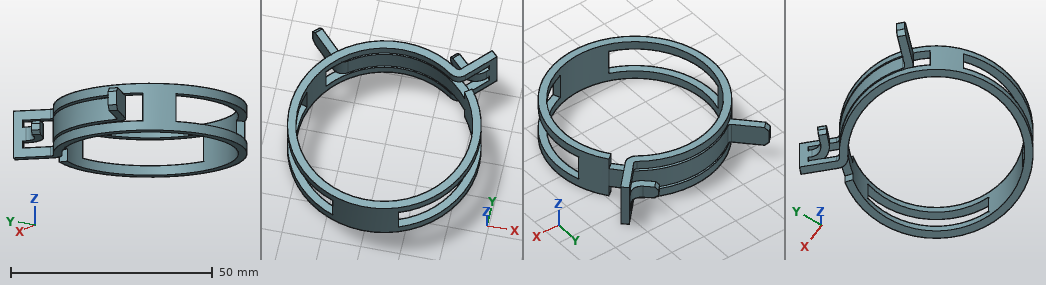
import cadquery as cq
import math

outer_diameter = 48.2
outer_radius = outer_diameter / 2
wall = 2.15
inner_radius = outer_radius - wall
band_height = 12.0

tongue_height = 5.8
window_height = 7.1
band_end_angle = 37.0
side_window_start_angle = 17.0
side_window_end_angle = -69.7

tab_angle = 46.0
tab_offset = 0.4
tab_reach = 34.15
bend_radius = 0.8
tip_chamfer = 1.15

tab_window_reach = 31.9
hook_height = 3.55
hook_tip_chamfer = 0.95
hook_bend_reach = 31.0
hook_bend_radius = 2.75
hook_tip_offset = 9.2


def polar(radius, angle):
    """Point at a radius and an angle in degrees."""
    return (radius * math.cos(math.radians(angle)), radius * math.sin(math.radians(angle)))


def from_point(center, radius, angle):
    """Point at a radius and an angle in degrees around a centre."""
    dx, dy = polar(radius, angle)
    return (center[0] + dx, center[1] + dy)


def extrude_centered(sketch, height):
    """Solid of the given height, symmetric about Z = 0."""
    return sketch.extrude(height / 2, both=True)


def bent_strip(start_angle, reach, height):
    """Ring strip running from start_angle to a tab that points out along tab_angle."""
    start = start_angle - tab_angle
    outside_bend_radius = bend_radius + wall
    center_y = tab_offset + outside_bend_radius
    center_distance = outer_radius + bend_radius
    bend_angle = math.degrees(math.asin(center_y / center_distance))
    center = polar(center_distance, bend_angle)
    middle = (start + bend_angle) / 2
    bend_middle = (bend_angle + 180 + 270) / 2
    strip = (
        cq.Workplane("XY")
        .moveTo(*polar(outer_radius, start))
        .threePointArc(polar(outer_radius, middle), polar(outer_radius, bend_angle))
        .threePointArc(from_point(center, bend_radius, bend_middle), from_point(center, bend_radius, 270))
        .lineTo(reach, tab_offset + wall)
        .lineTo(reach, tab_offset)
        .lineTo(center[0], tab_offset)
        .threePointArc(
            from_point(center, outside_bend_radius, bend_middle),
            polar(inner_radius, bend_angle),
        )
        .threePointArc(polar(inner_radius, middle), polar(inner_radius, start))
        .close()
    )
    return extrude_centered(strip, height).rotate((0, 0, 0), (0, 0, 1), tab_angle)


def side_window():
    """Cutter for the window on the +X side of the ring."""
    cut_radius = 2 * outer_radius
    middle = (side_window_start_angle + side_window_end_angle) / 2
    sector = (
        cq.Workplane("XY")
        .lineTo(*polar(cut_radius, side_window_start_angle))
        .threePointArc(polar(cut_radius, middle), polar(cut_radius, side_window_end_angle))
        .close()
    )
    return extrude_centered(sector, window_height)


def hook():
    """Tongue of the wide tab, bent back through a right angle."""
    tab_far_face = tab_offset + wall
    outside_radius = hook_bend_radius + wall
    center = (hook_bend_reach, tab_far_face + hook_bend_radius)
    leg_inside = center[0] - hook_bend_radius
    leg_outside = center[0] - outside_radius
    profile = (
        cq.Workplane("XY")
        .moveTo(tab_window_reach, tab_offset)
        .lineTo(center[0], tab_offset)
        .threePointArc(from_point(center, outside_radius, 225), (leg_outside, center[1]))
        .lineTo(leg_outside, hook_tip_offset)
        .lineTo(leg_inside, hook_tip_offset)
        .lineTo(leg_inside, center[1])
        .threePointArc(from_point(center, hook_bend_radius, 225), (center[0], tab_far_face))
        .lineTo(tab_window_reach, tab_far_face)
        .close()
    )
    body = extrude_centered(profile, hook_height)
    body = body.faces(">Y").edges("|X").chamfer(hook_tip_chamfer)
    return body.rotate((0, 0, 0), (0, 0, 1), tab_angle)


def tongue():
    """Narrow strip from the band end, over the top of the ring, to the -X tab."""
    strip = bent_strip(180 - band_end_angle, tab_reach, tongue_height)
    tab_direction = cq.Vector(*polar(1, tab_angle))
    tip_face = strip.faces(cq.selectors.DirectionMinMaxSelector(tab_direction, True))
    strip = tip_face.edges("not |Z").chamfer(tip_chamfer)
    return strip.mirror("YZ")


band = bent_strip(band_end_angle + 360, tab_reach, band_height)
window = side_window()
band = band.cut(window).cut(window.mirror("YZ"))

band = band.cut(bent_strip(180 - band_end_angle, tab_window_reach, window_height))

result = band.union(hook()).union(tongue())